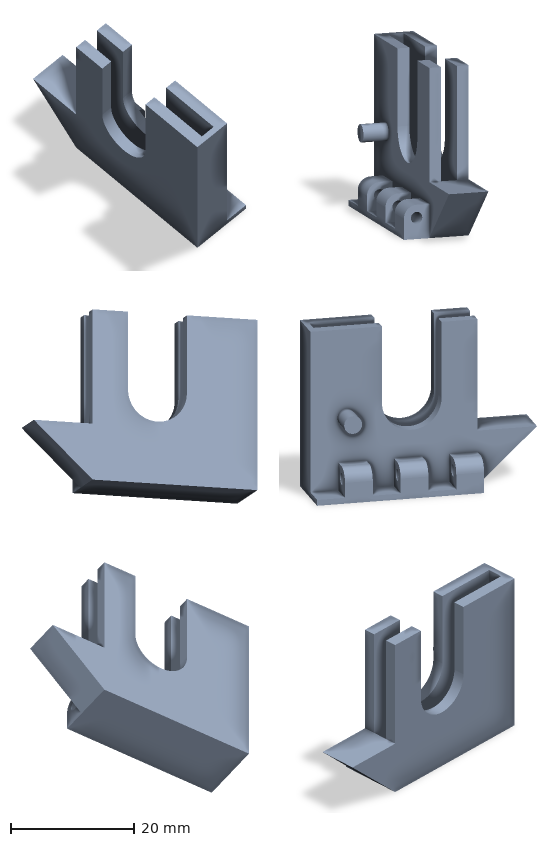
import cadquery as cq

length = 38.0
body_depth = 6.75
height = 28.27
nose_length = 10.0
ledge_height = 9.3
block_length = length - nose_length

notch_width = 10.0
notch_radius = notch_width / 2
notch_center_x = 21.0
notch_center_z = 15.3

slot_width = 2.7
slot_wall = 1.03

hinge_depth = 4.35
segment_count = 6
segment_length = block_length / segment_count
lug_radius = hinge_depth / 2
hinge_axis_y = body_depth + lug_radius
hinge_axis_z = 3.55
hinge_hole_diameter = 1.95
floor_thickness = 1.0

pin_diameter = 3.0
pin_x = 31.95
pin_z = 13.25


def block(x, y, z, dx, dy, dz):
    """Box with its lowest corner at (x, y, z)."""
    return cq.Workplane("XY").box(dx, dy, dz, centered=False).translate((x, y, z))


def make_body():
    outline = [
        (0, ledge_height),
        (nose_length, 0),
        (length, 0),
        (length, height),
        (nose_length, height),
        (nose_length, ledge_height),
    ]
    return cq.Workplane("XZ").polyline(outline).close().extrude(-body_depth)


def make_notch():
    rounded_end = (
        cq.Workplane("XZ")
        .center(notch_center_x, notch_center_z)
        .circle(notch_radius)
        .extrude(-body_depth)
    )
    straight_sides = block(
        notch_center_x - notch_radius, 0, notch_center_z,
        notch_width, body_depth, height - notch_center_z,
    )
    return rounded_end.union(straight_sides)


def make_slot():
    return block(
        nose_length, (body_depth - slot_width) / 2, slot_wall,
        block_length - slot_wall, slot_width, height - slot_wall,
    )


def make_lug(start_x):
    """Hinge lug with a rounded outer top corner and a pin hole along X."""
    outer_y = body_depth + hinge_depth
    return (
        cq.Workplane("YZ", origin=(start_x, 0, 0))
        .moveTo(body_depth, 0)
        .lineTo(outer_y, 0)
        .lineTo(outer_y, hinge_axis_z)
        .radiusArc((hinge_axis_y, hinge_axis_z + lug_radius), -lug_radius)
        .lineTo(body_depth, hinge_axis_z + lug_radius)
        .close()
        .moveTo(hinge_axis_y, hinge_axis_z)
        .circle(hinge_hole_diameter / 2)
        .extrude(segment_length)
    )


def make_pin():
    return (
        cq.Workplane("XZ", origin=(0, body_depth, 0))
        .center(pin_x, pin_z)
        .circle(pin_diameter / 2)
        .extrude(-hinge_depth)
    )


result = make_body().cut(make_notch()).cut(make_slot())
result = result.union(block(nose_length, body_depth, 0, block_length, hinge_depth, floor_thickness))
for segment in range(0, segment_count, 2):
    result = result.union(make_lug(nose_length + segment * segment_length))
result = result.union(make_pin())